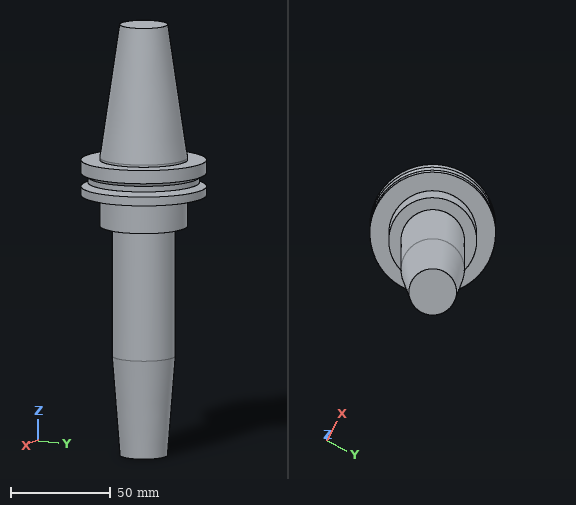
import cadquery as cq

height = 220.6

taper_length = 68.2
taper_diameter = 44.4
taper_rate = 7 / 24
neck_length = 1.0

flange_diameter = 63.5
flange_bottom_depth = 87.4
groove_center_depth = 79.5
groove_mouth_width = 6.8
groove_root_width = 2.9
groove_root_diameter = 56.3

collar_diameter = 44.4
collar_bottom_depth = 103.3
shank_diameter = 32.0
nose_length = 51.0
nose_tip_diameter = 24.0

gauge_z = height - taper_length
flange_top_z = gauge_z - neck_length
flange_bottom_z = height - flange_bottom_depth
collar_bottom_z = height - collar_bottom_depth
groove_z = height - groove_center_depth

taper_radius = taper_diameter / 2
top_radius = (taper_diameter - taper_rate * taper_length) / 2
flange_radius = flange_diameter / 2
groove_radius = groove_root_diameter / 2
collar_radius = collar_diameter / 2
shank_radius = shank_diameter / 2
nose_tip_radius = nose_tip_diameter / 2

profile = [
    (0, 0),
    (nose_tip_radius, 0),
    (shank_radius, nose_length),
    (shank_radius, collar_bottom_z),
    (collar_radius, collar_bottom_z),
    (collar_radius, flange_bottom_z),
    (flange_radius, flange_bottom_z),
    (flange_radius, groove_z - groove_mouth_width / 2),
    (groove_radius, groove_z - groove_root_width / 2),
    (groove_radius, groove_z + groove_root_width / 2),
    (flange_radius, groove_z + groove_mouth_width / 2),
    (flange_radius, flange_top_z),
    (taper_radius, flange_top_z),
    (taper_radius, gauge_z),
    (top_radius, height),
    (0, height),
]

result = cq.Workplane("XZ").polyline(profile).close().revolve(360, (0, 0, 0), (0, 1, 0))